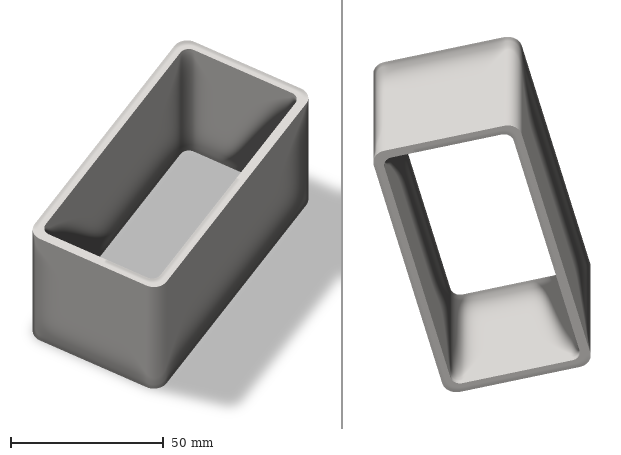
import cadquery as cq

width = 50.0
length = 100.0
height = 50.0
wall = 3.2
outer_radius = 4.8
inner_radius = outer_radius - wall / 2


def rounded_block(size_x, size_y, corner_radius):
    """Full-height block with rounded vertical edges."""
    return cq.Workplane("XY").box(size_x, size_y, height).edges("|Z").fillet(corner_radius)


outside = rounded_block(width, length, outer_radius)
opening = rounded_block(width - 2 * wall, length - 2 * wall, inner_radius)

result = outside.cut(opening)